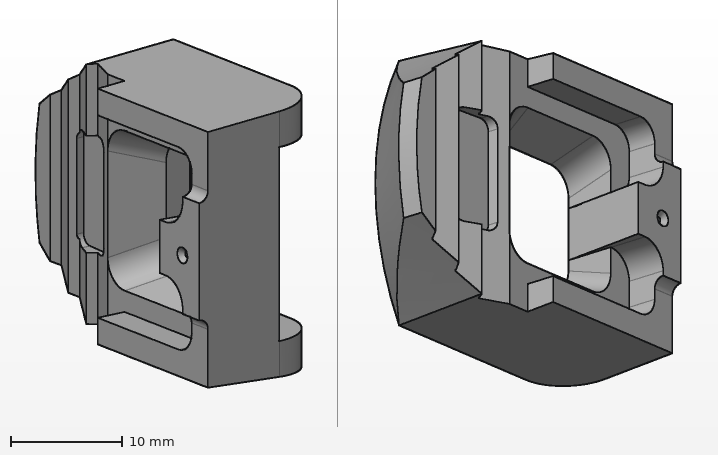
import cadquery as cq
import math


rear_half_height = 12.75
front_half_height = 12.0
body_depth = 13.0
shoulder_x = -22.55
nose_tip_x = -30.92
nose_half_height = 6.52
nose_axis_x = 0.4
rear_nose_x = -25.85
nose_flat_depth = 7.1
end_corner_radius = 5.0

seat_depth = 10.0
rail_start_x = -16.5
jaw_start_x = -19.0
jaw_slope = math.tan(math.radians(3.8))
first_tooth_offset = 3.53
tooth_pitch = 2.98
tooth_count = 3
valley_shift = 0.55
valley_rise = 0.86

recess_half_height = 9.5
recess_end_x = -2.45
recess_corner_radius = 2.0

tab_height = 1.0
tab_end_x = -5.9
tab_neck_half_height = 2.5
tab_root_x = -5.0
tab_root_radius = 2.5
tab_half_height = 5.5
tab_fillet = 1.0
tab_depth = body_depth + tab_height

mark_x = -2.5
mark_diameter = 1.5
mark_tip_diameter = 0.5
mark_depth = 0.5

window_end_x = tab_root_x
window_front_x = jaw_start_x
window_throat_x = -16.95
window_front_half_height = 7.5
window_throat_half_height = 6.0
window_corner_radius = 2.5
throat_depth = end_corner_radius
cavity_ledge = 3.1

label_start_x = -25.1
label_end_x = -20.15
label_half_height = 5.5
label_corner_radius = 1.0
label_depth = 1.45

margin = 1.0


def plane_at(depth):
    """XZ plane at a depth in front of the rear face; extrusions run toward -Y."""
    return cq.Workplane("XZ", origin=(0, -depth, 0))


def jaw_y(x):
    """Y of the inclined line that the tooth tips lie on."""
    return -seat_depth + (jaw_start_x - x) * jaw_slope


def plan_blank():
    """Drafted block with a tapering nose, cut back by a cone toward the rear."""
    nose_radius = nose_axis_x - nose_tip_x
    rear_nose_radius = nose_axis_x - rear_nose_x
    cone_growth = (nose_radius - rear_nose_radius) / nose_flat_depth
    nose_corner_x = nose_axis_x - math.sqrt(nose_radius**2 - nose_half_height**2)

    def outline(workplane, half_height):
        return (
            workplane.moveTo(0, half_height)
            .lineTo(shoulder_x, half_height)
            .lineTo(nose_corner_x, nose_half_height)
            .threePointArc((nose_tip_x, 0), (nose_corner_x, -nose_half_height))
            .lineTo(shoulder_x, -half_height)
            .lineTo(0, -half_height)
            .close()
        )

    blank = outline(cq.Workplane("XZ"), rear_half_height)
    blank = outline(blank.workplane(offset=body_depth), front_half_height).loft(ruled=True)
    cone = (
        cq.Workplane("XY", origin=(nose_axis_x, 0, 0))
        .polyline([
            (0, 0),
            (-rear_nose_radius, 0),
            (-rear_nose_radius - cone_growth * body_depth, -body_depth),
            (0, -body_depth),
        ])
        .close()
        .revolve(360, (0, 0, 0), (0, 1, 0))
    )
    return blank.intersect(cone)


def side_profile():
    """XY silhouette: rounded rear corner, rail step and serrated jaw."""
    profile = (
        cq.Workplane("XY")
        .moveTo(nose_tip_x - margin, 0)
        .lineTo(-end_corner_radius, 0)
        .radiusArc((0, -end_corner_radius), end_corner_radius)
        .lineTo(0, -body_depth)
        .lineTo(rail_start_x, -body_depth)
        .lineTo(rail_start_x, -seat_depth)
        .lineTo(jaw_start_x, -seat_depth)
    )
    for tooth in range(tooth_count):
        tip_x = jaw_start_x - first_tooth_offset - tooth * tooth_pitch
        tip_y = jaw_y(tip_x)
        profile = profile.lineTo(tip_x + valley_shift, tip_y + valley_rise).lineTo(tip_x, tip_y)
    outer_x = nose_tip_x - margin
    profile = profile.lineTo(outer_x, jaw_y(outer_x)).close()
    return profile.extrude(rear_half_height + margin, both=True)


def tab_pad():
    """Raised pad at the +X end with concave fillets."""
    base_half_height = tab_half_height + tab_fillet
    return (
        cq.Workplane("YZ")
        .moveTo(-seat_depth, base_half_height)
        .lineTo(-body_depth, base_half_height)
        .radiusArc((-tab_depth, tab_half_height), tab_fillet)
        .lineTo(-tab_depth, -tab_half_height)
        .radiusArc((-body_depth, -base_half_height), tab_fillet)
        .lineTo(-seat_depth, -base_half_height)
        .close()
        .extrude(tab_root_x)
    )


def tab_neck():
    """Straight-sided neck of the tab, widening from the window throat toward the tab face."""
    return (
        cq.Workplane("XY")
        .polyline([
            (tab_root_x, -throat_depth),
            (tab_end_x, -tab_depth),
            (tab_root_x + margin, -tab_depth),
            (tab_root_x + margin, -throat_depth),
        ])
        .close()
        .extrude(tab_neck_half_height, both=True)
    )


def arc_middle(center, radius, z_sign):
    """Midpoint of a quarter arc on the +X side of its center."""
    offset = radius * math.sqrt(0.5)
    return center[0] + offset, center[1] + z_sign * offset


def recess():
    """C-shaped clearance down to the seat, leaving the two rails and the tab."""
    start_x = rail_start_x - margin
    corner_center = (recess_end_x - recess_corner_radius, recess_half_height - recess_corner_radius)
    root_center = (tab_root_x, tab_neck_half_height + tab_root_radius)
    upper = (
        plane_at(seat_depth)
        .moveTo(start_x, 0)
        .lineTo(start_x, recess_half_height)
        .lineTo(corner_center[0], recess_half_height)
        .threePointArc(
            arc_middle(corner_center, recess_corner_radius, 1), (recess_end_x, corner_center[1])
        )
        .lineTo(recess_end_x, root_center[1])
        .threePointArc(
            arc_middle(root_center, tab_root_radius, -1), (tab_root_x, tab_neck_half_height)
        )
        .lineTo(tab_root_x, 0)
        .close()
        .extrude(tab_depth - seat_depth + margin)
    )
    return upper.union(upper.mirror("XY"))


def rounded_outline(x_start, x_end, half_height, radius):
    """Rectangle with rounded corners, centred on mid-height."""
    sketch = cq.Sketch().rect(x_end - x_start, 2 * half_height).vertices().fillet(radius)
    return sketch.moved(cq.Location(cq.Vector((x_start + x_end) / 2, 0, 0)))


def window():
    """Window narrowing from the seat to its throat; its +X wall is parallel to Y."""
    taper_length = seat_depth - throat_depth
    throat = rounded_outline(
        window_throat_x, window_end_x, window_throat_half_height, window_corner_radius
    )
    front = rounded_outline(
        window_front_x, window_end_x, window_front_half_height, window_corner_radius
    )
    front = front.moved(cq.Location(cq.Vector(0, 0, taper_length)))
    return plane_at(throat_depth).placeSketch(throat, front).loft()


def rear_cavity():
    """Cavity wider than the throat by a ledge, open to the rear and the +X end."""
    start_x = window_throat_x - cavity_ledge
    height = 2 * (window_throat_half_height + cavity_ledge)
    return (
        plane_at(0)
        .center(start_x / 2, 0)
        .rect(-start_x, height)
        .extrude(throat_depth)
    )


def label_pocket():
    """Shallow pocket across the teeth; its floor is parallel to the line of tooth tips."""
    outline = rounded_outline(label_start_x, label_end_x, label_half_height, label_corner_radius)
    below_floor = (
        cq.Workplane("XY")
        .polyline([
            (label_start_x, -seat_depth),
            (label_end_x, -seat_depth),
            (label_end_x, jaw_y(label_end_x) + label_depth),
            (label_start_x, jaw_y(label_start_x) + label_depth),
        ])
        .close()
        .extrude(label_half_height, both=True)
    )
    return cq.Workplane("XZ").placeSketch(outline).extrude(seat_depth).intersect(below_floor)


def centre_mark():
    """Conical dimple in the tab face."""
    return (
        plane_at(tab_depth)
        .center(mark_x, 0)
        .circle(mark_diameter / 2)
        .workplane(offset=-mark_depth)
        .circle(mark_tip_diameter / 2)
        .loft()
    )


body = plan_blank().intersect(side_profile()).union(tab_pad())
body = body.cut(recess()).cut(window()).cut(rear_cavity())
body = body.union(tab_neck())
result = body.cut(label_pocket()).cut(centre_mark())